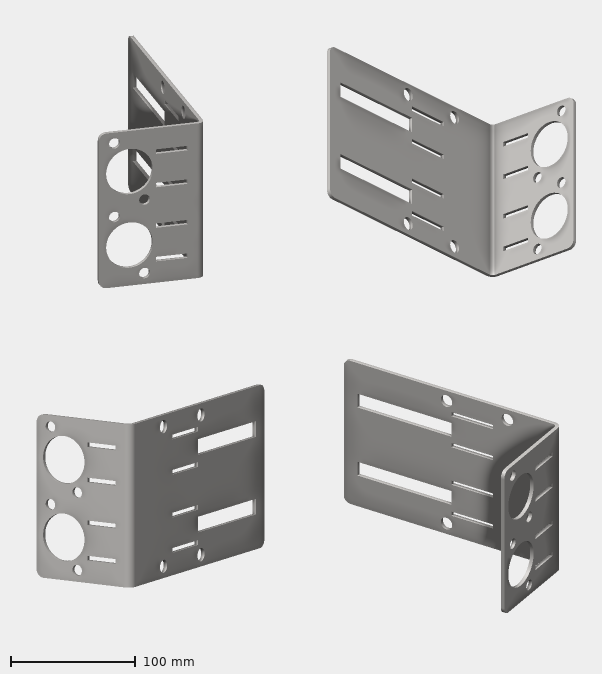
import cadquery as cq

plate_length = 203.2
flange_depth = 89.0
height = 133.3
thickness = 3.3
bend_inner_radius = 3.0
bend_outer_radius = bend_inner_radius + thickness
corner_radius = 6.3

slot_levels = (17.5, 46.3)
slot_height = 3.9
large_opening_level = 31.7

window_length = 88.5
window_height = 12.8
window_center = 57.0
plate_slot_length = 38.8
plate_slot_center = 120.7
plate_hole_diameter = 10.8
plate_hole_positions = (96.5, 153.6)
plate_hole_level = 57.0

flange_slot_length = 26.5
flange_slot_center = 61.0
port_diameter = 39.0
port_center = 25.6
screw_diameter = 9.0
screw_offset_y = 12.5
screw_offset_z = 25.6


def both_sides(levels):
    """Return each level above and below mid-height."""
    return [sign * level for level in levels for sign in (-1, 1)]


def bent_sheet():
    """Plate along X with a flange toward -Y at its +X end."""
    outer = cq.Workplane("XY").box(plate_length, flange_depth, height, centered=(False, False, True))
    outer = outer.translate((0, -flange_depth, 0))
    outer = outer.edges("|Z and >X and >Y").fillet(bend_outer_radius)
    inner = cq.Workplane("XY").box(plate_length, flange_depth, height, centered=(False, False, True))
    inner = inner.edges("|Z and >X and >Y").fillet(bend_inner_radius)
    sheet = outer.cut(inner.translate((-thickness, -flange_depth - thickness, 0)))
    sheet = sheet.faces("<X").edges("|Y").fillet(corner_radius)
    return sheet.faces("<Y").edges("|X").fillet(corner_radius)


def plate_openings():
    """Cutters for the windows, slots and holes through the plate."""
    plane = cq.Workplane("XZ")
    windows = plane.pushPoints([(window_center, z) for z in both_sides([large_opening_level])])
    windows = windows.rect(window_length, window_height).extrude(thickness)
    slots = plane.pushPoints([(plate_slot_center, z) for z in both_sides(slot_levels)])
    slots = slots.rect(plate_slot_length, slot_height).extrude(thickness)
    hole_points = [(x, z) for x in plate_hole_positions for z in both_sides([plate_hole_level])]
    holes = plane.pushPoints(hole_points).circle(plate_hole_diameter / 2).extrude(thickness)
    return windows, slots, holes


def flange_openings():
    """Cutters for the slots, ports and diagonal screw holes through the flange."""
    plane = cq.Workplane("YZ", origin=(plate_length - thickness, -flange_depth, 0))
    slots = plane.pushPoints([(flange_slot_center, z) for z in both_sides(slot_levels)])
    slots = slots.rect(flange_slot_length, slot_height).extrude(thickness)
    port_levels = both_sides([large_opening_level])
    ports = plane.pushPoints([(port_center, z) for z in port_levels])
    ports = ports.circle(port_diameter / 2).extrude(thickness)
    screw_points = [
        (port_center - sign * screw_offset_y, z + sign * screw_offset_z)
        for z in port_levels
        for sign in (-1, 1)
    ]
    screws = plane.pushPoints(screw_points).circle(screw_diameter / 2).extrude(thickness)
    return slots, ports, screws


result = bent_sheet()
for cutter in plate_openings() + flange_openings():
    result = result.cut(cutter)